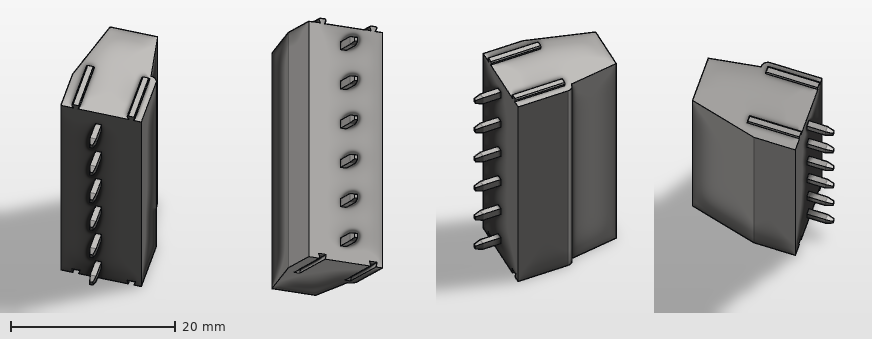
import cadquery as cq


pole_count = 6
width = 10.2
depth = 14.0
height = 29.98
pitch = height / pole_count
back_left_x = 2.32
back_right_x = 8.35
left_slope_y = 5.32
shoulder_radius = 0.9
shoulder_y = 7.55
right_slope_x = width - shoulder_radius

coupling_centers_x = (1.9, 8.9)
coupling_length = 6.67
coupling_height = 0.6
coupling_width = 1.0
rail_foot_width = 0.6
rail_tip_width = 0.7
rail_tip_height = 0.15
groove_mouth_width = 0.73
groove_wall_height = 0.1

pin_x = 4.77
pin_width = 0.75
pin_thickness = 1.0
pin_length = 3.3
pin_tip_length = 0.9
pin_tip_width = 0.4
pin_tip_thickness = 0.52


def make_housing():
    """Extrude the housing outline, with its rounded shoulder on the right, along the row of poles."""
    return (
        cq.Workplane("XY")
        .lineTo(width, 0)
        .lineTo(width, shoulder_y - shoulder_radius)
        .tangentArcPoint((right_slope_x, shoulder_y), relative=False)
        .lineTo(back_right_x, depth)
        .lineTo(back_left_x, depth)
        .lineTo(0, left_slope_y)
        .close()
        .extrude(height)
    )


def make_coupling(center_x, base_z, levels):
    """Extrude a symmetric profile, given as (height, width) levels, from the pin face towards the back."""
    right_side = [(center_x + level_width / 2, base_z + z) for z, level_width in levels]
    left_side = [(center_x - level_width / 2, base_z + z) for z, level_width in reversed(levels)]
    return cq.Workplane("XZ").polyline(right_side + left_side).close().extrude(-coupling_length)


def make_pin(center_z):
    """A rectangular pin that ends in a tapered tip."""
    shank_length = pin_length - pin_tip_length
    shank = cq.Workplane("XZ", origin=(pin_x, 0, center_z)).rect(pin_width, pin_thickness).extrude(shank_length)
    tip = (
        cq.Workplane("XZ", origin=(pin_x, -shank_length, center_z))
        .rect(pin_width, pin_thickness)
        .workplane(offset=pin_tip_length)
        .rect(pin_tip_width, pin_tip_thickness)
        .loft(ruled=True)
    )
    return shank.union(tip)


rail_levels = [
    (0, rail_foot_width),
    (coupling_height - rail_tip_height, coupling_width),
    (coupling_height, rail_tip_width),
]
groove_levels = [
    (0, groove_mouth_width),
    (coupling_height - groove_wall_height, coupling_width),
    (coupling_height, coupling_width),
]

result = make_housing()
for coupling_x in coupling_centers_x:
    result = result.union(make_coupling(coupling_x, height, rail_levels))
    result = result.cut(make_coupling(coupling_x, 0, groove_levels))
for pole in range(pole_count):
    result = result.union(make_pin((pole + 0.5) * pitch))